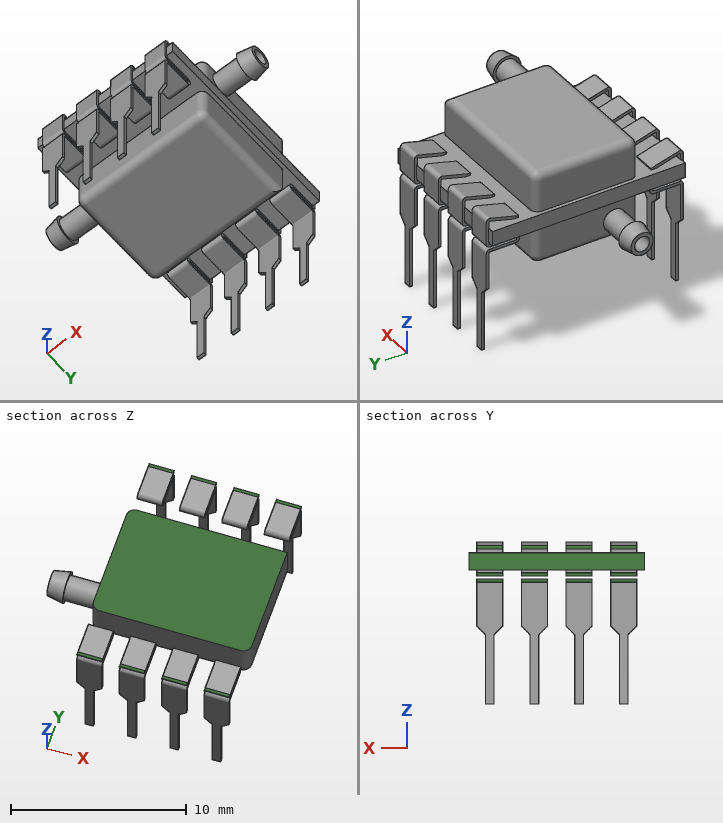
import cadquery as cq
import math

OVERALL_X = 15.3
OVERALL_Y = 13.3
OVERALL_Z = 11.21

PLATE_X = 10.0
PLATE_Y = 13.0
PLATE_THICKNESS = 1.0

HOUSING_X = 9.5
HOUSING_Y = 7.0
HOUSING_Z = 6.18
HOUSING_FILLET = 0.5

PORT_Y = -1.9
PORT_OFFSET_Z = 1.9
PORT_DIAMETER = 1.5
BORE_DIAMETER = 1.0
BARB_DIAMETER = 1.88
BARB_LENGTH = 1.0
PORT_LENGTH = (OVERALL_X - HOUSING_X) / 2

LEADS_PER_SIDE = 4
LEAD_PITCH = 2.54
LEAD_WIDTH = 1.5
LEAD_THICKNESS = 0.2
PIN_WIDTH = 0.5
SHOULDER_HEIGHT = 4.45
BEND_RADIUS = 0.25
LEAD_TOP_Z = 1.12
ARM_SLOPE = math.radians(15)
ARM_REACH = 2.14
LOOP_REACH = 2.25
LOOP_TOP_Z = -0.65
LOOP_GAP = 0.15

PIN_TIP_Z = HOUSING_Z / 2 - OVERALL_Z
LEAD_OUTER_Y = OVERALL_Y / 2
LEAD_MID_Y = LEAD_OUTER_Y - LEAD_THICKNESS / 2


def make_housing():
    """Block with rounded edges, except for the sharp upright edge at +X +Y."""
    block = cq.Workplane("XY").box(HOUSING_X, HOUSING_Y, HOUSING_Z)
    sharp_edge = cq.selectors.NearestToPointSelector((HOUSING_X / 2, HOUSING_Y / 2, 0))
    rounded_edges = cq.selectors.SubtractSelector(cq.selectors.StringSyntaxSelector("|Z"), sharp_edge)
    block = block.edges(rounded_edges).fillet(HOUSING_FILLET)
    return block.faces("|Z").edges().fillet(HOUSING_FILLET)


def make_port():
    """Hose port pointing along +X from the housing end, with a tapered barb and a blind bore."""
    root_x = HOUSING_X / 2 - HOUSING_FILLET
    face_x = HOUSING_X / 2
    tip_x = face_x + PORT_LENGTH
    barb_x = tip_x - BARB_LENGTH
    return (
        cq.Workplane("XY")
        .moveTo(root_x, 0)
        .lineTo(root_x, PORT_DIAMETER / 2)
        .lineTo(barb_x, PORT_DIAMETER / 2)
        .lineTo(barb_x, BARB_DIAMETER / 2)
        .lineTo(tip_x, PORT_DIAMETER / 2)
        .lineTo(tip_x, BORE_DIAMETER / 2)
        .lineTo(face_x, BORE_DIAMETER / 2)
        .lineTo(face_x, 0)
        .close()
        .revolve(360, (0, 0, 0), (1, 0, 0))
        .translate((0, PORT_Y, PORT_OFFSET_Z))
    )


def make_lead_strip():
    """Full-width strip of a +Y lead, swept along its centreline from pin tip to sloping arm."""
    bend = BEND_RADIUS - LEAD_THICKNESS / 2
    bend_y = LEAD_MID_Y - bend
    upper_z = LOOP_TOP_Z - LEAD_THICKNESS / 2
    lower_z = upper_z - LEAD_THICKNESS - LOOP_GAP
    loop_y = LEAD_OUTER_Y - LOOP_REACH + LEAD_THICKNESS + LOOP_GAP / 2
    top_bend_z = LEAD_TOP_Z - BEND_RADIUS
    arm_y = bend_y - bend * math.sin(ARM_SLOPE)
    arm_z = top_bend_z + bend * math.cos(ARM_SLOPE)
    tip_y = LEAD_OUTER_Y - ARM_REACH - LEAD_THICKNESS / 2 * math.sin(ARM_SLOPE)
    tip_z = arm_z - (arm_y - tip_y) * math.tan(ARM_SLOPE)

    centreline = (
        cq.Workplane("YZ")
        .moveTo(LEAD_MID_Y, PIN_TIP_Z)
        .lineTo(LEAD_MID_Y, lower_z - bend)
        .tangentArcPoint((bend_y, lower_z), relative=False)
        .lineTo(loop_y, lower_z)
        .tangentArcPoint((loop_y, upper_z), relative=False)
        .lineTo(bend_y, upper_z)
        .tangentArcPoint((LEAD_MID_Y, upper_z + bend), relative=False)
        .lineTo(LEAD_MID_Y, top_bend_z)
        .tangentArcPoint((arm_y, arm_z), relative=False)
        .lineTo(tip_y, tip_z)
    )
    section = cq.Workplane("XY", origin=(0, LEAD_MID_Y, PIN_TIP_Z)).rect(LEAD_WIDTH, LEAD_THICKNESS)
    return section.sweep(centreline)


def make_lead():
    """Lead on the +Y side, narrowed below a 45 degree shoulder to a thin pin."""
    shoulder_z = PIN_TIP_Z + SHOULDER_HEIGHT
    side_cut = (LEAD_WIDTH - PIN_WIDTH) / 2
    side_waste = (
        cq.Workplane("XZ")
        .moveTo(LEAD_WIDTH / 2, shoulder_z)
        .lineTo(PIN_WIDTH / 2, shoulder_z - side_cut)
        .lineTo(PIN_WIDTH / 2, PIN_TIP_Z)
        .lineTo(LEAD_WIDTH / 2, PIN_TIP_Z)
        .close()
        .extrude(-OVERALL_Y)
    )
    return make_lead_strip().cut(side_waste).cut(side_waste.mirror("YZ"))


plate = cq.Workplane("XY").box(PLATE_X, PLATE_Y, PLATE_THICKNESS)
upper_port = make_port()
lower_port = upper_port.rotate((0, 0, 0), (0, 1, 0), 180)
result = plate.union(make_housing()).union(upper_port).union(lower_port)

lead = make_lead()
opposite_lead = lead.mirror("XZ")
for index in range(LEADS_PER_SIDE):
    lead_x = (index - (LEADS_PER_SIDE - 1) / 2) * LEAD_PITCH
    result = result.union(lead.translate((lead_x, 0, 0)))
    result = result.union(opposite_lead.translate((lead_x, 0, 0)))